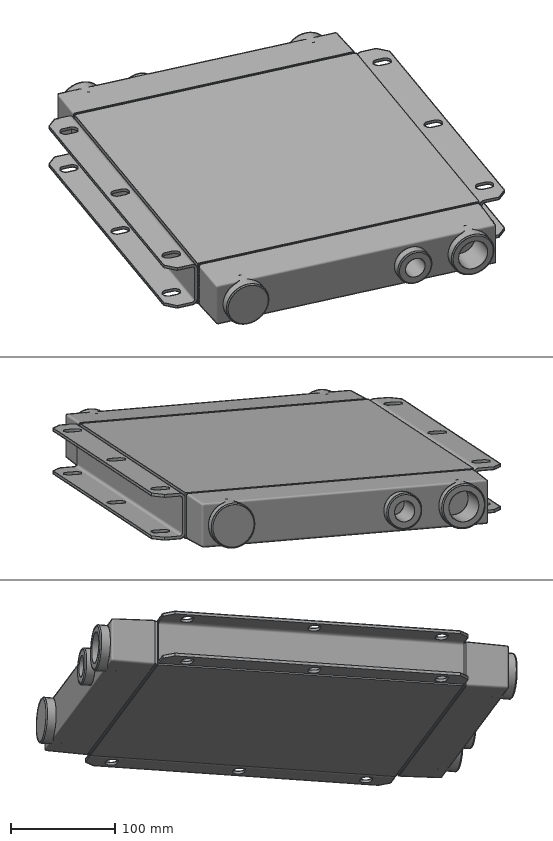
import cadquery as cq
import math

overall_length = 410.0
core_length = 300.0
core_width = 293.5
height = 45.0

neck_length = 3.0
neck_recess = 1.2

tank_depth = 42.2
tank_width = 293.0
tank_draft_angle = 1.4
tank_edge_radius = 2.0
tank_inner_x = core_length / 2 + neck_length

collar_length = 20.0
collar_edge = 1.2
collar_draft_angle = 1.0
large_diameter = 44.3
small_diameter = 35.5
large_bore = 30.5
small_bore = 20.5
bore_depth = 30.8
large_offset = 117.3
small_offset = 57.0

bracket_width = 30.8
sheet = 3.0
inner_bend = 3.0
outer_bend = inner_bend + sheet
corner_cut = 10.0

slot_length = 18.0
slot_width = 11.0
slot_pitch = 125.0
slot_edge_distance = 14.5


def make_core():
    """Solid core block with a slightly smaller neck at both ends."""
    block = cq.Workplane("XY").box(core_length, core_width, height)
    neck = cq.Workplane("XY").box(
        core_length + 2 * neck_length, core_width - 2 * neck_recess, height - 2 * neck_recess
    )
    return block.union(neck)


def make_bracket():
    """Channel on the +Y side: an upright web with a flange folded outwards at top and bottom."""
    half_height = height / 2
    inner_y = core_width / 2
    web_y = inner_y + sheet
    outer_y = inner_y + bracket_width
    bend_y = inner_y + outer_bend
    bend_z = half_height - outer_bend
    flange_z = half_height - sheet
    diagonal = math.sqrt(0.5)
    outer_mid = outer_bend * (1 - diagonal)
    inner_mid = inner_bend * (1 - diagonal)

    channel = (
        cq.Workplane("YZ")
        .moveTo(inner_y, -bend_z)
        .lineTo(inner_y, bend_z)
        .threePointArc((inner_y + outer_mid, half_height - outer_mid), (bend_y, half_height))
        .lineTo(outer_y, half_height)
        .lineTo(outer_y, flange_z)
        .lineTo(bend_y, flange_z)
        .threePointArc((web_y + inner_mid, flange_z - inner_mid), (web_y, bend_z))
        .lineTo(web_y, -bend_z)
        .threePointArc((web_y + inner_mid, inner_mid - flange_z), (bend_y, -flange_z))
        .lineTo(outer_y, -flange_z)
        .lineTo(outer_y, -half_height)
        .lineTo(bend_y, -half_height)
        .threePointArc((inner_y + outer_mid, outer_mid - half_height), (inner_y, -bend_z))
        .close()
        .extrude(core_length / 2, both=True)
    )
    channel = channel.edges("|Z and >Y").chamfer(corner_cut)

    slots = (
        cq.Workplane("XY")
        .pushPoints([(i * slot_pitch, outer_y - slot_edge_distance) for i in (-1, 0, 1)])
        .slot2D(slot_length, slot_width, 90)
        .extrude(height, both=True)
    )
    return channel.cut(slots)


def make_collar(offset_y, diameter):
    """Round collar with a chamfered end, reaching from the end of the part into the -X tank."""
    radius = diameter / 2
    root_radius = radius - collar_length * math.tan(math.radians(collar_draft_angle))
    return (
        cq.Workplane("XY", origin=(-overall_length / 2, offset_y, 0))
        .lineTo(0, radius - collar_edge)
        .lineTo(collar_edge, radius)
        .lineTo(collar_length, root_radius)
        .lineTo(collar_length, 0)
        .close()
        .revolve(360, (0, 0, 0), (1, 0, 0))
    )


def make_bore(offset_y, diameter):
    """Blind bore cut into a collar from the end of the part."""
    return (
        cq.Workplane("YZ", origin=(-overall_length / 2, offset_y, 0))
        .circle(diameter / 2)
        .extrude(bore_depth)
    )


def make_tank():
    """Tank on the -X end: drafted box with one closed boss and two bored ports."""
    tank = (
        cq.Workplane("YZ", origin=(-tank_inner_x, 0, 0))
        .rect(tank_width, height)
        .extrude(-tank_depth, taper=tank_draft_angle)
    )
    tank = tank.edges("not >X").fillet(tank_edge_radius)

    tank = tank.union(make_collar(large_offset, large_diameter))
    tank = tank.union(make_collar(-large_offset, large_diameter))
    tank = tank.union(make_collar(-small_offset, small_diameter))
    tank = tank.cut(make_bore(-large_offset, large_bore))
    return tank.cut(make_bore(-small_offset, small_bore))


core = make_core()

half_turns = [i * 180 for i in range(2)]
brackets = [make_bracket().rotate((0, 0, 0), (0, 0, 1), angle).val() for angle in half_turns]
tanks = [make_tank().rotate((0, 0, 0), (0, 0, 1), angle).val() for angle in half_turns]

result = cq.Compound.makeCompound([core.val(), *brackets, *tanks])